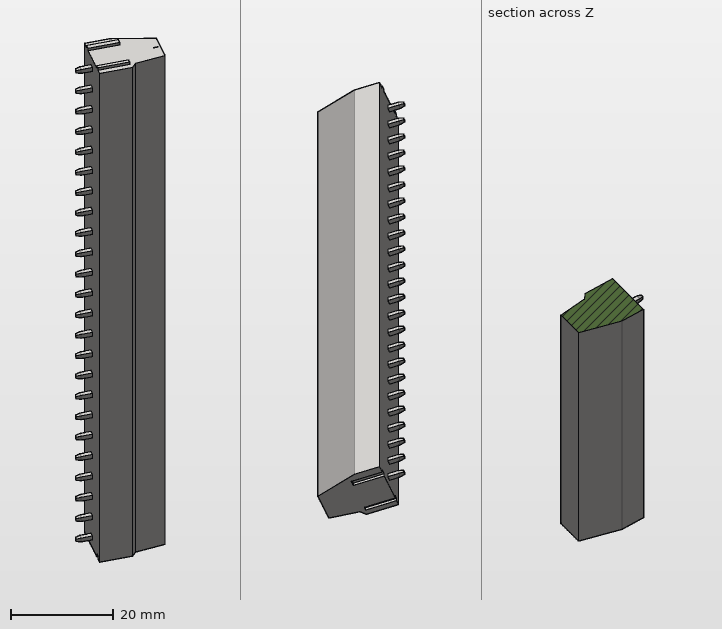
import cadquery as cq

overall_height = 120.6
overall_depth = 17.2
width = 10.3
body_depth = 14.0
pin_count = 24

back_left_x = 2.5
back_right_x = 8.5
left_wall_depth = 5.3
right_wall_depth = 6.8
shoulder_width = 1.1
shoulder_rise = 1.0

left_rib = (1.5, 2.5)
right_rib = (8.5, 9.2)
rib_height = 0.6
groove_depth = 0.7
rib_length = 6.5
rib_taper = 0.1

slot_x = 5.3
slot_width = 0.06
slot_length = 1.0
slot_depth = 0.06
slot_back_margin = 0.5

pin_x = 5.0
pin_size = 1.0
pin_tip_size = 0.6
pin_tip_length = 1.0

body_height = overall_height - rib_height
pitch = body_height / pin_count
pin_length = overall_depth - body_depth


def make_body():
    """Prism along Z with its front face on y = 0."""
    outline = [
        (0, 0),
        (width, 0),
        (width, right_wall_depth),
        (width - shoulder_width, right_wall_depth + shoulder_rise),
        (back_right_x, body_depth),
        (back_left_x, body_depth),
        (0, left_wall_depth),
    ]
    return cq.Workplane("XY").polyline(outline).close().extrude(body_height)


def make_rib(span, base_z, height, taper=0):
    """Bar running back from the front face; its left side leans inwards by taper."""
    start, end = span
    profile = [
        (start, base_z),
        (end, base_z),
        (end, base_z + height),
        (start + taper, base_z + height),
    ]
    return cq.Workplane("XZ").polyline(profile).close().extrude(-rib_length)


def make_rib_pair(base_z, height):
    """Left and right bars standing on the level base_z."""
    left = make_rib(left_rib, base_z, height, rib_taper)
    return left.union(make_rib(right_rib, base_z, height))


def make_slot():
    """Cutter for the fine slot in the top end."""
    slot_y = body_depth - slot_back_margin - slot_length / 2
    return (
        cq.Workplane("XY", origin=(slot_x, slot_y, body_height))
        .rect(slot_width, slot_length)
        .extrude(-slot_depth)
    )


def make_pin(z):
    """Square pin with a tapered tip, pointing to -Y from the front face."""
    return (
        cq.Workplane("XZ", origin=(pin_x, 0, z))
        .rect(pin_size, pin_size)
        .extrude(pin_length - pin_tip_length)
        .faces("<Y")
        .workplane()
        .rect(pin_size, pin_size)
        .workplane(offset=pin_tip_length)
        .rect(pin_tip_size, pin_tip_size)
        .loft()
    )


result = make_body()
result = result.union(make_rib_pair(body_height, rib_height))
result = result.cut(make_rib_pair(0, groove_depth))
result = result.cut(make_slot())
for index in range(pin_count):
    result = result.union(make_pin((index + 0.5) * pitch))